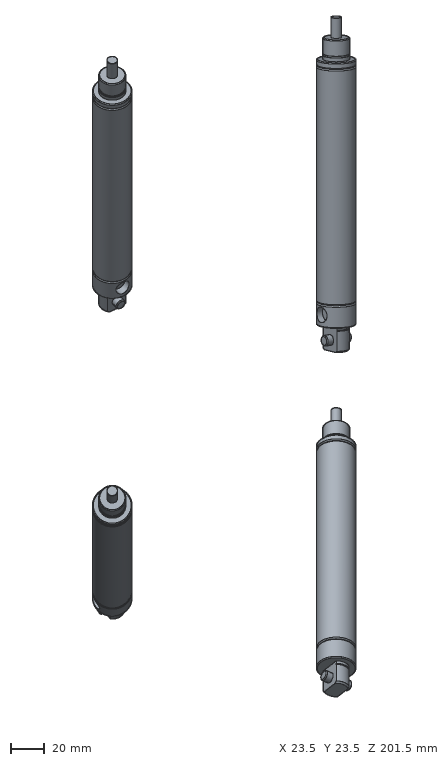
import cadquery as cq

TOTAL_HEIGHT = 201.5
BODY_DIAMETER = 23.5
CAP_BOTTOM = 15.5
HEAD_TOP = 176.0
HEAD_CHAMFER = 0.6
CAP_CHAMFER = 0.6

LOWER_GROOVE_HEIGHT = 29.2
UPPER_GROOVE_HEIGHT = 172.0
V_GROOVE_WIDTH = 1.6
V_GROOVE_DEPTH = 0.6

NECK_DIAMETER = 16.1
NECK_TOP = 189.1
NECK_CHAMFER = 0.6
NECK_GROOVE_DEPTH = 0.5
NECK_GROOVE_BOTTOM = 178.3
NECK_GROOVE_TOP = 179.3

TANG_DIAMETER = NECK_DIAMETER
TANG_THICKNESS = 9.5
TANG_CHAMFER = 1.0
TANG_GROOVE_BOTTOM = 13.0
TANG_GROOVE_TOP = 13.7
TANG_GROOVE_DEPTH = 0.2

PORT_DIAMETER = 9.3
PORT_HEIGHT = 23.0
PORT_DEPTH = 5.0

ROD_DIAMETER = 6.5
ROD_BOTTOM = HEAD_TOP
ROD_CHAMFER = 0.2

PIN_DIAMETER = 6.5
PIN_LENGTH = 19.0
PIN_HEIGHT = 6.8
PIN_CHAMFER = 0.6


def disc(diameter, bottom, top):
    """Round bar on the Z axis between two heights."""
    return cq.Workplane("XY").workplane(offset=bottom).circle(diameter / 2).extrude(top - bottom)


def ring(diameter, depth, bottom, top):
    """Ring of material that a groove removes from a round bar."""
    return disc(diameter, bottom, top).cut(disc(diameter - 2 * depth, bottom, top))


def v_ring(diameter, depth, width, height):
    """Ring of material that a V groove removes, centred at a height."""
    radius = diameter / 2
    return (
        cq.Workplane("XZ")
        .moveTo(radius, height - width / 2)
        .lineTo(radius - depth, height)
        .lineTo(radius, height + width / 2)
        .close()
        .revolve(360, (0, 0), (0, 1))
    )


def make_barrel():
    """Main cylinder with a chamfered head, a chamfered cap and two V grooves."""
    barrel = disc(BODY_DIAMETER, CAP_BOTTOM, HEAD_TOP)
    barrel = barrel.faces("<Z").chamfer(CAP_CHAMFER)
    barrel = barrel.faces(">Z").chamfer(HEAD_CHAMFER)
    for height in (LOWER_GROOVE_HEIGHT, UPPER_GROOVE_HEIGHT):
        barrel = barrel.cut(v_ring(BODY_DIAMETER, V_GROOVE_DEPTH, V_GROOVE_WIDTH, height))
    return barrel


def make_neck():
    """Round mounting neck with a chamfered top and a narrow groove."""
    neck = disc(NECK_DIAMETER, HEAD_TOP, NECK_TOP).faces(">Z").chamfer(NECK_CHAMFER)
    return neck.cut(ring(NECK_DIAMETER, NECK_GROOVE_DEPTH, NECK_GROOVE_BOTTOM, NECK_GROOVE_TOP))


def make_tang():
    """Round stub with two flats facing along X and a fine groove below the cap."""
    tang = disc(TANG_DIAMETER, 0, CAP_BOTTOM).faces("<Z").chamfer(TANG_CHAMFER)
    tang = tang.cut(ring(TANG_DIAMETER, TANG_GROOVE_DEPTH, TANG_GROOVE_BOTTOM, TANG_GROOVE_TOP))
    flats = cq.Workplane("XY").rect(TANG_THICKNESS, TANG_DIAMETER).extrude(CAP_BOTTOM)
    return tang.intersect(flats)


def make_port():
    """Bore that opens radially through the +X side of the cap."""
    return (
        cq.Workplane("YZ")
        .workplane(offset=BODY_DIAMETER / 2 - PORT_DEPTH)
        .center(0, PORT_HEIGHT)
        .circle(PORT_DIAMETER / 2)
        .extrude(PORT_DEPTH)
    )


def make_rod():
    """Piston rod seated in the neck, with a chamfered tip."""
    return disc(ROD_DIAMETER, ROD_BOTTOM, TOTAL_HEIGHT).faces(">Z").chamfer(ROD_CHAMFER)


def make_pin():
    """Pivot pin along X with chamfered ends."""
    return (
        cq.Workplane("YZ")
        .workplane(offset=-PIN_LENGTH / 2)
        .center(0, PIN_HEIGHT)
        .circle(PIN_DIAMETER / 2)
        .extrude(PIN_LENGTH)
        .faces("<X or >X")
        .chamfer(PIN_CHAMFER)
    )


def make_cylinder_body(rod, pin):
    """One-piece cylinder body, bored to take the rod and the pin."""
    body = make_barrel().union(make_neck()).union(make_tang())
    return body.cut(make_port()).cut(rod).cut(pin)


piston_rod = make_rod()
pivot_pin = make_pin()
cylinder_body = make_cylinder_body(piston_rod, pivot_pin)

result = cq.Compound.makeCompound([cylinder_body.val(), piston_rod.val(), pivot_pin.val()])